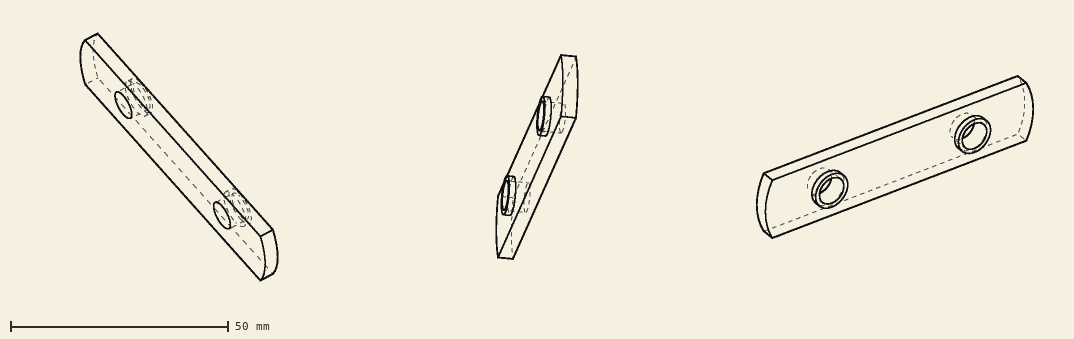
import cadquery as cq

length = 75.0
height = 16.0
plate_thickness = 3.5
end_bow = 1.95

total_depth = 5.0
hole_spacing = 40.0
hole_diameter = 6.8
boss_diameter = 9.0

half_length = length / 2
half_height = height / 2
corner_x = half_length - end_bow
hole_centers = [(-hole_spacing / 2, 0), (hole_spacing / 2, 0)]


def extrude_back(sketch, depth):
    """Extrude an XZ sketch from the front face (Y = 0) toward +Y."""
    return sketch.extrude(-depth)


def cylinders(diameter):
    """Cylinders at both hole centers, over the full depth of the part."""
    sketch = cq.Workplane("XZ").pushPoints(hole_centers).circle(diameter / 2)
    return extrude_back(sketch, total_depth)


plate_outline = (
    cq.Workplane("XZ")
    .moveTo(-corner_x, -half_height)
    .lineTo(corner_x, -half_height)
    .threePointArc((half_length, 0), (corner_x, half_height))
    .lineTo(-corner_x, half_height)
    .threePointArc((-half_length, 0), (-corner_x, -half_height))
    .close()
)
plate = extrude_back(plate_outline, plate_thickness)

result = plate.union(cylinders(boss_diameter)).cut(cylinders(hole_diameter))